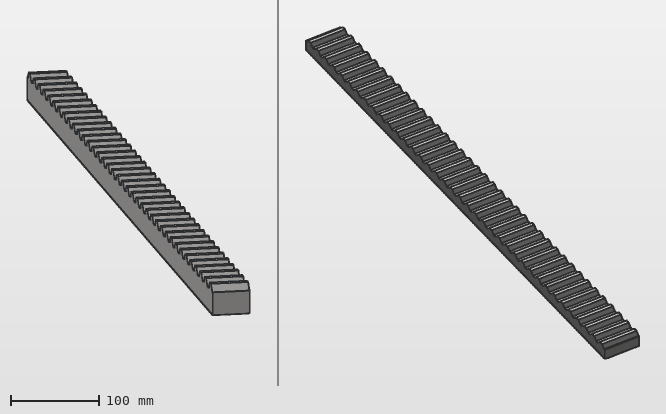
import cadquery as cq
import math

total_length = 520.0
width = 40.0
height = 39.5

tooth_count = 38
helix_angle = math.radians(19.5)
normal_pressure_angle = math.radians(20)
addendum = 4.0
dedendum = 5.0
end_trim = 0.39

back_bevel = 1.5

end_skew = width * math.tan(helix_angle)
bar_length = total_length - end_skew
pitch = (bar_length + 2 * end_trim) / tooth_count
root_height = height - addendum - dedendum
flank_slope = math.tan(normal_pressure_angle) / math.cos(helix_angle)
half_tip = pitch / 4 - addendum * flank_slope
half_base = pitch / 4 + dedendum * flank_slope


def tooth_points(center):
    """XZ corners of one straight-flanked tooth, from left to right."""
    return [
        (center - half_base, root_height),
        (center - half_tip, height),
        (center + half_tip, height),
        (center + half_base, root_height),
    ]


def rack_section():
    """Closed outline of the toothed bar on its front (-Y) side."""
    left = -total_length / 2
    right = left + bar_length
    first_tooth = left - end_trim + pitch / 2
    points = [(left, 0), (left, root_height)]
    for index in range(tooth_count):
        points += tooth_points(first_tooth + index * pitch)
    points += [(right, root_height), (right, 0)]
    corners = [cq.Vector(x, -width / 2, z) for x, z in points]
    return cq.Wire.makePolygon(corners, close=True)


helix_direction = cq.Vector(end_skew, width, 0)
toothed_bar = cq.Solid.extrudeLinear(rack_section(), [], helix_direction)

beveled_bar = cq.Workplane(toothed_bar).faces("<Z").edges(">Y").chamfer(back_bevel)

result = beveled_bar.solids()